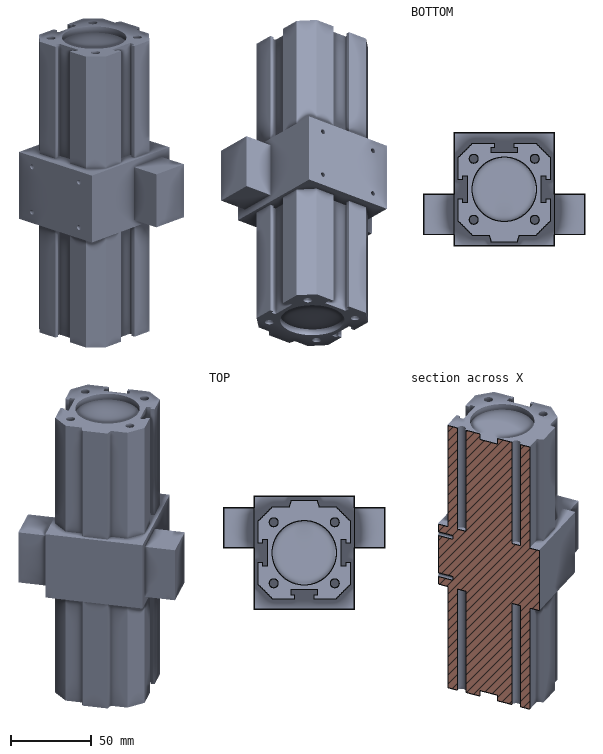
import cadquery as cq

total_length = 192.0

block_width = 62.0
block_depth = 70.0
block_height = 44.2

side_span = 100.0
side_depth = 25.0
side_height = 35.0
side_center_y = 15.5

mount_diameter = 3.0
mount_depth = 10.0
mount_spacing_x = 40.0
mount_spacing_z = 30.0

profile_size = 57.0
profile_chamfer = 8.8
rail_height = 4.0
rail_base_width = 18.5
rail_top_width = 16.1
slot_mouth_width = 12.3
slot_inner_width = 16.3
slot_lip = 2.5
slot_depth = 5.8

bore_diameter = 40.0
bore_depth = 4.0
corner_hole_diameter = 5.5
corner_hole_spacing = 37.8

block_top = block_height / 2
column_length = (total_length - block_height) / 2
half_profile = profile_size / 2


def make_rail():
    """Tapered rail along the back (+Y) face of a column."""
    return (
        cq.Workplane("XY")
        .moveTo(-rail_base_width / 2, 0)
        .lineTo(-rail_base_width / 2, half_profile)
        .lineTo(-rail_top_width / 2, half_profile + rail_height)
        .lineTo(rail_top_width / 2, half_profile + rail_height)
        .lineTo(rail_base_width / 2, half_profile)
        .lineTo(rail_base_width / 2, 0)
        .close()
        .extrude(column_length)
    )


def make_slot(angle):
    """T-slot cutter for the front (-Y) face, turned about Z by angle degrees."""
    mouth = (
        cq.Workplane("XY")
        .center(0, -half_profile + slot_depth / 2)
        .rect(slot_mouth_width, slot_depth)
        .extrude(column_length)
    )
    inner_depth = slot_depth - slot_lip
    inner = (
        cq.Workplane("XY")
        .center(0, -half_profile + slot_lip + inner_depth / 2)
        .rect(slot_inner_width, inner_depth)
        .extrude(column_length)
    )
    return mouth.union(inner).rotate((0, 0, 0), (0, 0, 1), angle)


def make_column():
    """Slotted column standing on the carriage block, with its bored end up."""
    column = (
        cq.Workplane("XY")
        .rect(profile_size, profile_size)
        .extrude(column_length)
        .edges("|Z")
        .chamfer(profile_chamfer)
        .union(make_rail())
    )
    for angle in (-90, 0, 90):
        column = column.cut(make_slot(angle))

    bore = (
        cq.Workplane("XY")
        .workplane(offset=column_length - bore_depth)
        .circle(bore_diameter / 2)
        .extrude(bore_depth)
    )
    corner_holes = (
        cq.Workplane("XY")
        .rect(corner_hole_spacing, corner_hole_spacing, forConstruction=True)
        .vertices()
        .circle(corner_hole_diameter / 2)
        .extrude(column_length)
    )
    return column.cut(bore).cut(corner_holes).translate((0, 0, block_top))


def make_carriage():
    """Central block with its side blocks and front mounting holes."""
    block = cq.Workplane("XY").box(block_width, block_depth, block_height)
    side_blocks = (
        cq.Workplane("XY")
        .box(side_span, side_depth, side_height)
        .translate((0, side_center_y, 0))
    )
    mount_holes = (
        cq.Workplane("XZ", origin=(0, -block_depth / 2, 0))
        .rect(mount_spacing_x, mount_spacing_z, forConstruction=True)
        .vertices()
        .circle(mount_diameter / 2)
        .extrude(-mount_depth)
    )
    return block.union(side_blocks).cut(mount_holes)


upper_column = make_column()
lower_column = upper_column.mirror("XY")
result = make_carriage().union(upper_column).union(lower_column)